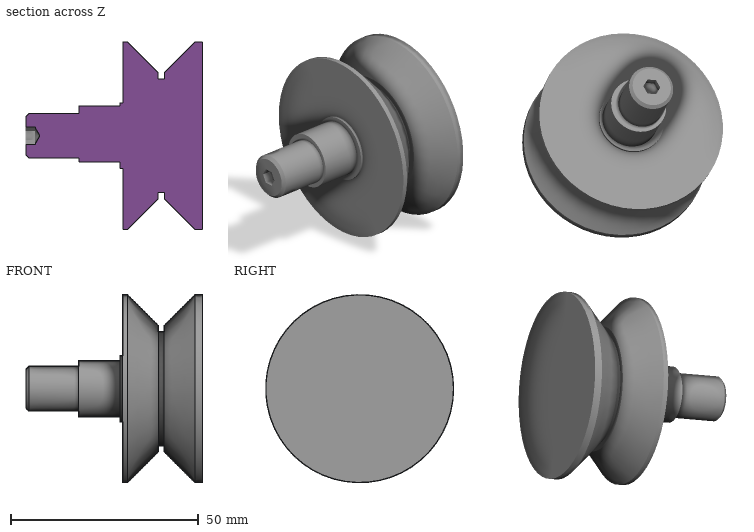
import cadquery as cq
import math

pin_length = 14.0
eccentric_length = 11.0
collar_length = 0.7
overall_length = 47.0
vee_center = 36.0
eccentric_start = pin_length
collar_start = eccentric_start + eccentric_length
wheel_start = collar_start + collar_length

pin_diameter = 12.0
pin_chamfer = 0.8
eccentric_diameter = 15.0
eccentric_offset = 0.5
collar_diameter = 17.6

wheel_diameter = 50.0
vee_width = 18.0
vee_half_angle = 45.0
relief_width = 1.5
relief_diameter = 30.4

hex_sides = 6
hex_across_flats = 4.0
hex_depth = 2.5
socket_tip_angle = 120.0


def disc(start, length, diameter, offset_y=0.0):
    """Cylinder along +X, starting at the given station."""
    plane = cq.Workplane("YZ", origin=(start, offset_y, 0))
    return plane.circle(diameter / 2).extrude(length)


def make_wheel():
    """Solid wheel with a V groove and a straight relief slot at its bottom."""
    rim_radius = wheel_diameter / 2
    flank_run = (vee_width - relief_width) / 2
    flank_foot_radius = rim_radius - flank_run / math.tan(math.radians(vee_half_angle))
    relief_radius = relief_diameter / 2
    relief_left = vee_center - relief_width / 2
    relief_right = vee_center + relief_width / 2
    return (
        cq.Workplane("XY")
        .moveTo(wheel_start, 0)
        .lineTo(wheel_start, rim_radius)
        .lineTo(relief_left - flank_run, rim_radius)
        .lineTo(relief_left, flank_foot_radius)
        .lineTo(relief_left, relief_radius)
        .lineTo(relief_right, relief_radius)
        .lineTo(relief_right, flank_foot_radius)
        .lineTo(relief_right + flank_run, rim_radius)
        .lineTo(overall_length, rim_radius)
        .lineTo(overall_length, 0)
        .close()
        .revolve(360, (0, 0, 0), (1, 0, 0))
    )


def make_socket():
    """Hexagonal recess with a conical bottom."""
    across_corners = hex_across_flats / math.cos(math.pi / hex_sides)
    tip_radius = hex_across_flats / 2
    tip_depth = tip_radius / math.tan(math.radians(socket_tip_angle / 2))
    hexagon = cq.Workplane("YZ").polygon(hex_sides, across_corners).extrude(hex_depth)
    tip = (
        cq.Workplane("XY")
        .moveTo(hex_depth, 0)
        .lineTo(hex_depth, tip_radius)
        .lineTo(hex_depth + tip_depth, 0)
        .close()
        .revolve(360, (0, 0, 0), (1, 0, 0))
    )
    return hexagon.union(tip)


pin = disc(0, pin_length, pin_diameter).faces("<X").chamfer(pin_chamfer)
eccentric = disc(eccentric_start, eccentric_length, eccentric_diameter, eccentric_offset)
collar = disc(collar_start, collar_length, collar_diameter)

result = pin.union(eccentric).union(collar).union(make_wheel()).cut(make_socket())